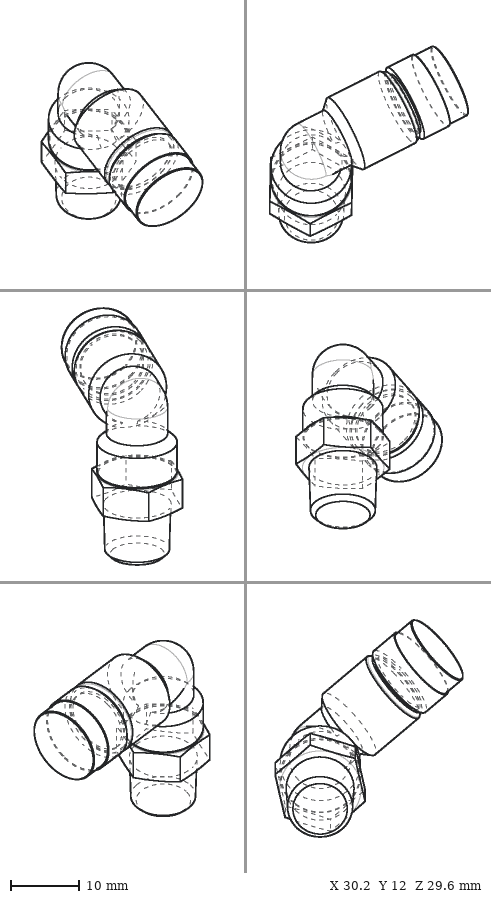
import cadquery as cq
import math


elbow_radius = 4.5
shoulder_start = 4.35
body_radius = 5.9
shoulder_end = shoulder_start + body_radius - elbow_radius

hex_flats = 12.0
hex_corner_radius = hex_flats / math.sqrt(3)
hex_top = -10.68
hex_bottom = -15.7
hex_chamfer_radius = 5.98
hex_chamfer_height = 0.2

collar_edge = 0.15
collar_bottom = -10.45

overall_height = 29.6
thread_bottom = body_radius - overall_height
thread_top_radius = 4.98
thread_low_radius = 4.77
thread_chamfer = 0.78

overall_length = 30.18
socket_end = overall_length - hex_corner_radius
socket_edge = 14.43
socket_lip_start = 14.6
socket_lip_radius = 5.73
socket_lip_end = 15.2
socket_lip_end_radius = 5.43
groove_radius = 4.77
ring_start = 15.72
ring_end = 20.0
tip_radius = 5.67
tip_chamfer = 0.12


def revolve_z(profile):
    """Revolve a closed (radius, z) profile about the Z axis."""
    return cq.Workplane("XZ").polyline(profile).close().revolve(360, (0, 0), (0, 1))


def revolve_x(profile):
    """Revolve a closed (x, radius) profile about the X axis."""
    return cq.Workplane("XZ").polyline(profile).close().revolve(360, (0, 0), (1, 0))


def make_stem():
    collar_low_radius = body_radius - collar_edge
    return revolve_z([
        (0, 0),
        (elbow_radius, 0),
        (elbow_radius, -shoulder_start),
        (body_radius, -shoulder_end),
        (body_radius, collar_bottom),
        (collar_low_radius, collar_bottom - collar_edge),
        (collar_low_radius, hex_top),
        (thread_top_radius, hex_top),
        (thread_top_radius, hex_bottom),
        (thread_low_radius, thread_bottom + thread_chamfer),
        (thread_low_radius - thread_chamfer, thread_bottom),
        (0, thread_bottom),
    ])


def make_hexagon():
    prism = (
        cq.Workplane("XY")
        .workplane(offset=hex_bottom)
        .polygon(6, 2 * hex_corner_radius)
        .extrude(hex_top - hex_bottom)
    )
    slope = hex_chamfer_height / (hex_corner_radius - hex_chamfer_radius)
    rim_radius = hex_corner_radius + 0.3
    rim_drop = slope * (rim_radius - hex_chamfer_radius)
    envelope = revolve_z([
        (0, hex_top),
        (hex_chamfer_radius, hex_top),
        (rim_radius, hex_top - rim_drop),
        (rim_radius, hex_bottom + rim_drop),
        (hex_chamfer_radius, hex_bottom),
        (0, hex_bottom),
    ])
    return prism.intersect(envelope)


def make_socket():
    return revolve_x([
        (0, 0),
        (0, elbow_radius),
        (shoulder_start, elbow_radius),
        (shoulder_end, body_radius),
        (socket_edge, body_radius),
        (socket_lip_start, socket_lip_radius),
        (socket_lip_end, socket_lip_end_radius),
        (socket_lip_end, groove_radius),
        (ring_start, groove_radius),
        (ring_start, body_radius),
        (ring_end, body_radius),
        (ring_end, tip_radius),
        (socket_end - tip_chamfer, tip_radius),
        (socket_end, tip_radius - tip_chamfer),
        (socket_end, 0),
    ])


elbow_ball = cq.Workplane("XY").sphere(elbow_radius)
result = make_stem().union(make_hexagon()).union(make_socket()).union(elbow_ball)